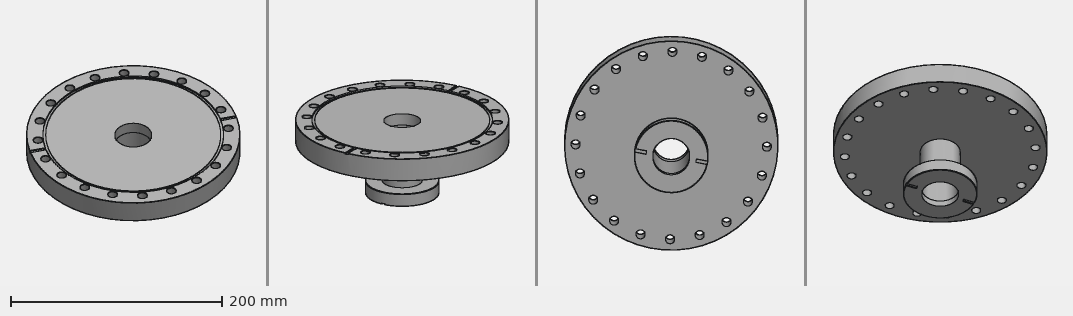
import cadquery as cq

TOTAL_HEIGHT = 75.0
BORE_DIAMETER = 35.0

LARGE_DIAMETER = 202.4
LARGE_THICKNESS = 22.5
LARGE_BOTTOM = TOTAL_HEIGHT - LARGE_THICKNESS
LARGE_CHAMFER = 0.5

BOLT_COUNT = 20
BOLT_CIRCLE_DIAMETER = 181.1
BOLT_HOLE_DIAMETER = 8.5
BOLT_HOLE_CHAMFER = 0.5
BOLT_PITCH_ANGLE = 360 / BOLT_COUNT
PATTERN_ANGLE = 88.4

RECESS_DIAMETER = 171.2
RECESS_DEPTH = 1.5
KNIFE_DIAMETER = 166.0
KNIFE_TIP_DEPTH = 0.5
FLOOR_DEPTH = 1.2

SMALL_DIAMETER = 70.0
SMALL_THICKNESS = 13.0
SMALL_CHAMFER = 0.6

GROOVE_WIDTH = 3.2
GROOVE_DEPTH = 1.2
LARGE_GROOVE_OFFSET = 2.5
SMALL_GROOVE_OFFSET = 0.8
SMALL_GROOVE_LENGTH = 11.1

TUBE_DIAMETER = 38.0
TUBE_BOTTOM = SMALL_THICKNESS / 2
TUBE_TOP = 62.3


def cylinder(diameter, bottom, top):
    """Upright cylinder on the Z axis between two heights."""
    return cq.Workplane("XY").workplane(offset=bottom).circle(diameter / 2).extrude(top - bottom)


def chamfered_disc(diameter, bottom, top, chamfer):
    """Flange blank with both outer edges broken."""
    return cylinder(diameter, bottom, top).faces("<Z or >Z").edges().chamfer(chamfer)


def groove_pair(inner_radius, outer_radius, offset, bottom):
    """Two opposite grooves crossing the rim at +Y and -Y, half a turn apart."""
    length = outer_radius - inner_radius
    groove = (
        cq.Workplane("XY")
        .box(GROOVE_WIDTH, length, GROOVE_DEPTH, centered=(True, False, False))
        .translate((offset, inner_radius, bottom))
    )
    return groove.union(groove.rotate((0, 0, 0), (0, 0, 1), 180))


def sealing_recess():
    """Material removed around and inside the knife edge, as a revolved profile."""
    floor = TOTAL_HEIGHT - FLOOR_DEPTH
    profile = [
        (0, floor),
        (KNIFE_DIAMETER / 2, floor),
        (KNIFE_DIAMETER / 2, TOTAL_HEIGHT - KNIFE_TIP_DEPTH),
        (RECESS_DIAMETER / 2, TOTAL_HEIGHT - RECESS_DEPTH),
        (RECESS_DIAMETER / 2, TOTAL_HEIGHT),
        (0, TOTAL_HEIGHT),
    ]
    return cq.Workplane("XZ").polyline(profile).close().revolve(360, (0, 0), (0, 1))


def bolt_holes():
    """Through holes with broken upper edges, half a pitch either side of each groove."""
    flare = BOLT_HOLE_DIAMETER / 2 + BOLT_HOLE_CHAMFER
    hole = cylinder(BOLT_HOLE_DIAMETER, LARGE_BOTTOM, TOTAL_HEIGHT)
    chamfer_cone = cq.Workplane(
        cq.Solid.makeCone(
            BOLT_HOLE_DIAMETER / 2,
            flare,
            BOLT_HOLE_CHAMFER,
            pnt=cq.Vector(0, 0, TOTAL_HEIGHT - BOLT_HOLE_CHAMFER),
        )
    )
    cutter = hole.union(chamfer_cone).val()
    return (
        cq.Workplane("XY")
        .polarArray(BOLT_CIRCLE_DIAMETER / 2, PATTERN_ANGLE + BOLT_PITCH_ANGLE / 2, 360, BOLT_COUNT)
        .eachpoint(lambda place: cutter.moved(place))
    )


def make_large_flange():
    flange = chamfered_disc(LARGE_DIAMETER, LARGE_BOTTOM, TOTAL_HEIGHT, LARGE_CHAMFER)
    grooves = groove_pair(
        KNIFE_DIAMETER / 2, LARGE_DIAMETER / 2, LARGE_GROOVE_OFFSET, TOTAL_HEIGHT - GROOVE_DEPTH
    ).cut(cylinder(RECESS_DIAMETER, LARGE_BOTTOM, TOTAL_HEIGHT))
    socket = cylinder(TUBE_DIAMETER, LARGE_BOTTOM, TUBE_TOP)
    bore = cylinder(BORE_DIAMETER, LARGE_BOTTOM, TOTAL_HEIGHT)
    return flange.cut(sealing_recess()).cut(grooves).cut(bolt_holes()).cut(socket).cut(bore)


def make_small_flange():
    flange = chamfered_disc(SMALL_DIAMETER, 0, SMALL_THICKNESS, SMALL_CHAMFER)
    rim_radius = SMALL_DIAMETER / 2
    grooves = groove_pair(rim_radius - SMALL_GROOVE_LENGTH, rim_radius, SMALL_GROOVE_OFFSET, 0)
    socket = cylinder(TUBE_DIAMETER, TUBE_BOTTOM, SMALL_THICKNESS)
    bore = cylinder(BORE_DIAMETER, 0, SMALL_THICKNESS)
    return flange.cut(grooves).cut(socket).cut(bore)


def make_tube():
    bore = cylinder(BORE_DIAMETER, TUBE_BOTTOM, TUBE_TOP)
    return cylinder(TUBE_DIAMETER, TUBE_BOTTOM, TUBE_TOP).cut(bore)


large_flange = make_large_flange()
tube = make_tube()
small_flange = make_small_flange()

result = cq.Compound.makeCompound(
    [large_flange.solids().val(), tube.solids().val(), small_flange.solids().val()]
)